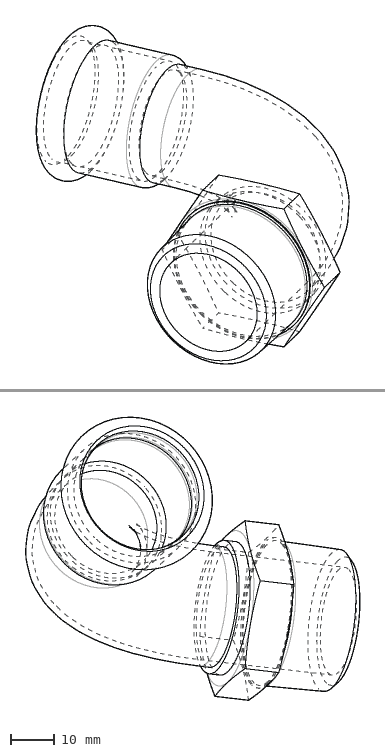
import cadquery as cq
import math

bore_dia = 25.0
tube_dia = 28.0
bend_start = 31.2
bend_radius = 41.7
axis_x = bend_start + bend_radius

bead_dia = 36.7
bead_width = 7.3
socket_dia = 31.4
socket_end = 23.3
shoulder_end = 25.9
mouth_dia = 30.5
mouth_end = 1.3
relief_bore = 28.8
seat_bore = 28.4
land_start = 2.1
land_end = 5.25
relief_start = 6.5
seat_start = 7.3
stop_length = 1.7

outlet_length = 74.0
thread_dia = 33.7
thread_tip_dia = 33.0
thread_top = 16.4
tip_chamfer = 1.6
hex_bottom = 17.7
hex_top = 27.1
hex_flats = 36.1
hex_corners = hex_flats / math.cos(math.pi / 6)
hex_bevel = 0.6
washer_dia = 35.0
washer_bottom = 17.35
collar_dia = 31.0
collar_top = 29.8
bend_end = outlet_length - bend_radius


def outlet_plane(height):
    """Plane across the outlet axis, its normal pointing back into the elbow."""
    return cq.Plane(
        origin=(axis_x, height - outlet_length, 0), xDir=(1, 0, 0), normal=(0, 1, 0)
    )


def outlet_cylinder(diameter, bottom, top):
    return cq.Workplane(outlet_plane(bottom)).circle(diameter / 2).extrude(top - bottom)


def revolve_about_inlet(profile):
    return profile.close().revolve(360, (0, 0, 0), (1, 0, 0))


def elbow_rod(diameter, end_height):
    """Solid round rod from the socket along the bend to a height above the outlet end."""
    straight = cq.Workplane("YZ").workplane(offset=socket_end).circle(diameter / 2)
    straight = straight.extrude(bend_start - socket_end)
    bend = (
        cq.Workplane("YZ", origin=(bend_start, 0, 0))
        .circle(diameter / 2)
        .revolve(90, (-bend_radius, 0, 0), (-bend_radius, -1, 0))
    )
    return straight.union(bend).union(outlet_cylinder(diameter, end_height, bend_end))


def socket_body():
    bead_radius = bead_width / 2
    bead_centre = bead_dia / 2 - bead_radius
    bead = (
        cq.Workplane("XY")
        .lineTo(0, bead_centre)
        .threePointArc((bead_radius, bead_dia / 2), (bead_width, bead_centre))
        .lineTo(bead_width, 0)
    )
    sleeve = (
        cq.Workplane("XY")
        .moveTo(bead_radius, 0)
        .lineTo(bead_radius, socket_dia / 2)
        .lineTo(socket_end, socket_dia / 2)
        .tangentArcPoint((shoulder_end, tube_dia / 2), relative=False)
        .lineTo(shoulder_end, 0)
    )
    return revolve_about_inlet(bead).union(revolve_about_inlet(sleeve))


def socket_cavity():
    profile = (
        cq.Workplane("XY")
        .lineTo(0, mouth_dia / 2)
        .lineTo(mouth_end, relief_bore / 2)
        .lineTo(land_start, seat_bore / 2)
        .lineTo(land_end, seat_bore / 2)
        .lineTo(relief_start, relief_bore / 2)
        .lineTo(seat_start, seat_bore / 2)
        .lineTo(socket_end, seat_bore / 2)
        .lineTo(socket_end + stop_length, bore_dia / 2)
        .lineTo(socket_end + stop_length, 0)
    )
    return revolve_about_inlet(profile)


def hex_nut():
    height = hex_top - hex_bottom
    corner_radius = hex_corners / 2
    bevel_envelope = (
        cq.Workplane("XY", origin=(axis_x, hex_bottom - outlet_length, 0))
        .lineTo(hex_flats / 2, 0)
        .lineTo(corner_radius, hex_bevel)
        .lineTo(corner_radius, height - hex_bevel)
        .lineTo(hex_flats / 2, height)
        .lineTo(0, height)
        .close()
        .revolve(360, (0, 0, 0), (0, 1, 0))
    )
    prism = cq.Workplane(outlet_plane(hex_bottom)).polygon(6, hex_corners).extrude(height)
    return prism.intersect(bevel_envelope)


def thread_body():
    """Plain tapered envelope of the pipe thread with a chamfered tip and a cylindrical neck."""
    return (
        cq.Workplane("XY", origin=(axis_x, -outlet_length, 0))
        .lineTo(thread_tip_dia / 2 - tip_chamfer, 0)
        .lineTo(thread_tip_dia / 2, tip_chamfer)
        .lineTo(thread_dia / 2, thread_top)
        .lineTo(thread_dia / 2, hex_bottom)
        .lineTo(0, hex_bottom)
        .close()
        .revolve(360, (0, 0, 0), (0, 1, 0))
    )


result = (
    elbow_rod(tube_dia, hex_top)
    .union(socket_body())
    .union(outlet_cylinder(collar_dia, hex_top, collar_top))
    .union(hex_nut())
    .union(outlet_cylinder(washer_dia, washer_bottom, hex_bottom))
    .union(thread_body())
    .cut(socket_cavity())
    .cut(elbow_rod(bore_dia, 0))
)